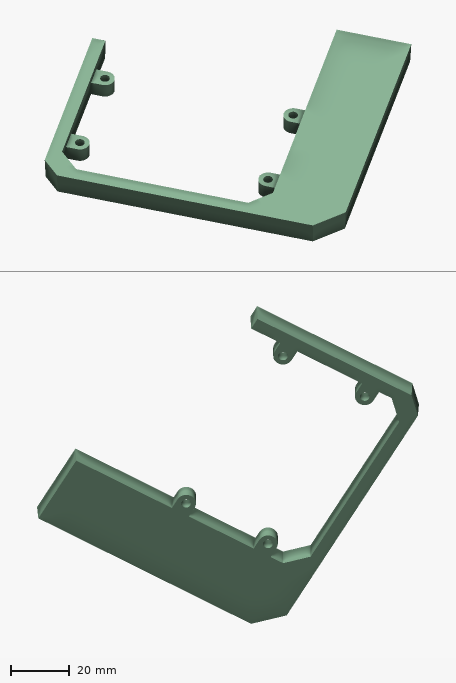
import cadquery as cq
import math

length = 105.2
width = 92.7
height = 8.0
wall_inset = 0.3

rail = 4.6
left_arm_end = 66.7
right_arm_width = 26.3
left_corner = 6.0
right_corner = 9.0
inner_corner = 6.8

lug_width = 6.6
lug_height = 5.5
lug_reach = 4.0
hole_diameter = 3.3
front_hole_y = 19.7
hole_spacing = 32.0

inner_left = rail
inner_right = length - right_arm_width


def make_outer_block():
    """Stepped block whose outer walls lean inward toward the bottom."""
    step_x = (inner_left + inner_right) / 2
    outline = [
        (left_corner, 0),
        (length - right_corner, 0),
        (length, right_corner),
        (length, width),
        (step_x, width),
        (step_x, left_arm_end),
        (0, left_arm_end),
        (0, left_corner),
    ]
    lean_angle = math.degrees(math.atan(wall_inset / height))
    top_plane = cq.Workplane("XY").workplane(offset=height)
    return top_plane.polyline(outline).close().extrude(-height, taper=lean_angle)


def make_opening():
    """Straight-walled opening between the arms, open toward +Y."""
    outline = [
        (inner_left + inner_corner, rail),
        (inner_right - inner_corner, rail),
        (inner_right, rail + inner_corner),
        (inner_right, width),
        (inner_left, width),
        (inner_left, rail + inner_corner),
    ]
    return cq.Workplane("XY").polyline(outline).close().extrude(height)


def make_lug(wall_x, hole_y, direction):
    """Round-ended lug; direction is +1 or -1 along X, away from its wall."""
    hole_x = wall_x + direction * lug_reach
    root_x = wall_x - direction * rail / 2
    radius = lug_width / 2
    return (
        cq.Workplane("XY")
        .moveTo(root_x, hole_y - radius)
        .lineTo(hole_x, hole_y - radius)
        .threePointArc((hole_x + direction * radius, hole_y), (hole_x, hole_y + radius))
        .lineTo(root_x, hole_y + radius)
        .close()
        .extrude(lug_height)
        .cut(cq.Workplane("XY").center(hole_x, hole_y).circle(hole_diameter / 2).extrude(lug_height))
    )


result = make_outer_block().cut(make_opening())
for lug_y in (front_hole_y, front_hole_y + hole_spacing):
    for wall, outward in ((inner_left, 1), (inner_right, -1)):
        result = result.union(make_lug(wall, lug_y, outward))